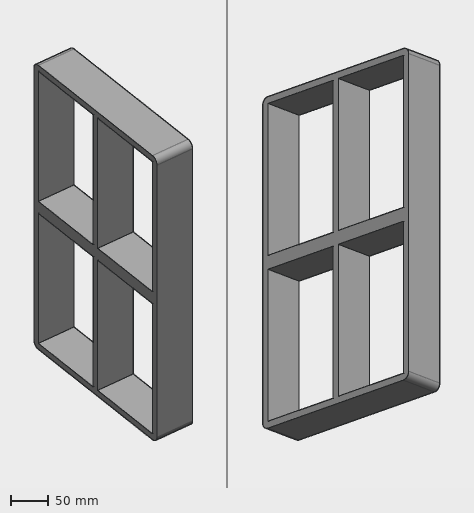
import cadquery as cq

width = 271.0
depth = 60.0
height = 476.0
corner_radius = 10.0

wall = 10.0
middle_rail = 2 * wall

window_width = (width - 3 * wall) / 2
window_height = (height - 2 * wall - middle_rail) / 2

frame = cq.Workplane("XY").box(width, depth, height).edges("|Y").fillet(corner_radius)

windows = (
    cq.Workplane("XZ")
    .rarray(window_width + wall, window_height + middle_rail, 2, 2)
    .rect(window_width, window_height)
    .extrude(depth / 2, both=True)
)

result = frame.cut(windows)